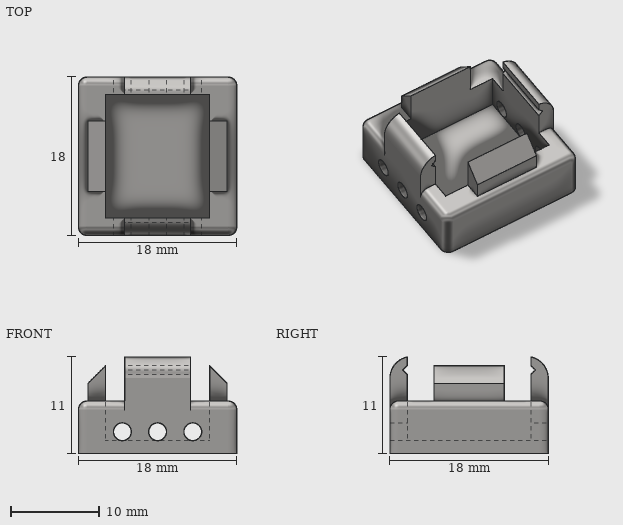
import cadquery as cq
import math

base_size = 18.0
base_height = 6.0
edge_radius = 1.0

pocket_length_x = 11.8
pocket_length_y = 14.0
floor_thickness = 1.5

total_height = 11.0
retainer_width = 7.5
retainer_thickness = (base_size - pocket_length_y) / 2
retainer_radius = 2.5
notch_depth = 0.5
notch_center_z = 9.5

clip_width = 8.0
clip_thickness = 2.0
clip_height = 4.0
clip_bevel = clip_thickness

hole_diameter = 2.0
hole_spacing = 4.0
hole_center_z = floor_thickness + hole_diameter / 2


def make_base():
    """Box with rounded upright and top edges."""
    box = cq.Workplane("XY").box(base_size, base_size, base_height, centered=(True, True, False))
    return box.edges("|Z").fillet(edge_radius).faces(">Z").edges().fillet(edge_radius)


def make_pocket():
    """Rectangular cutter for the cavity above the floor."""
    return (
        cq.Workplane("XY")
        .workplane(offset=floor_thickness)
        .rect(pocket_length_x, pocket_length_y)
        .extrude(total_height - floor_thickness)
    )


def make_retainer():
    """Wall on the +Y side: rounded outer top, V-notch along the inner face."""
    outer_y = base_size / 2
    inner_y = outer_y - retainer_thickness
    arc_center_y = outer_y - retainer_radius
    end_angle = math.acos((inner_y - arc_center_y) / retainer_radius)
    arc_center_z = total_height - retainer_radius * math.sin(end_angle)
    mid_angle = end_angle / 2
    arc_mid = (
        arc_center_y + retainer_radius * math.cos(mid_angle),
        arc_center_z + retainer_radius * math.sin(mid_angle),
    )
    return (
        cq.Workplane("YZ")
        .moveTo(inner_y, 0)
        .lineTo(outer_y, 0)
        .lineTo(outer_y, arc_center_z)
        .threePointArc(arc_mid, (inner_y, total_height))
        .lineTo(inner_y, notch_center_z + notch_depth)
        .lineTo(inner_y + notch_depth, notch_center_z)
        .lineTo(inner_y, notch_center_z - notch_depth)
        .close()
        .extrude(retainer_width / 2, both=True)
    )


def make_clip():
    """Clip on the +X side, flush with the pocket wall and bevelled outwards."""
    inner_x = pocket_length_x / 2
    outer_x = inner_x + clip_thickness
    top_z = base_height + clip_height
    return (
        cq.Workplane("XZ")
        .moveTo(inner_x, floor_thickness)
        .lineTo(outer_x, floor_thickness)
        .lineTo(outer_x, top_z - clip_bevel)
        .lineTo(inner_x, top_z)
        .close()
        .extrude(clip_width / 2, both=True)
    )


def make_holes():
    """Row of three cylinders running the full depth along Y."""
    hole_centers = [(column * hole_spacing, hole_center_z) for column in (-1, 0, 1)]
    return (
        cq.Workplane("XZ")
        .pushPoints(hole_centers)
        .circle(hole_diameter / 2)
        .extrude(base_size, both=True)
    )


retainer = make_retainer()
clip = make_clip()

body = make_base().cut(make_pocket())
body = body.union(retainer).union(retainer.mirror("XZ"))
body = body.union(clip).union(clip.mirror("YZ"))

result = body.cut(make_holes())